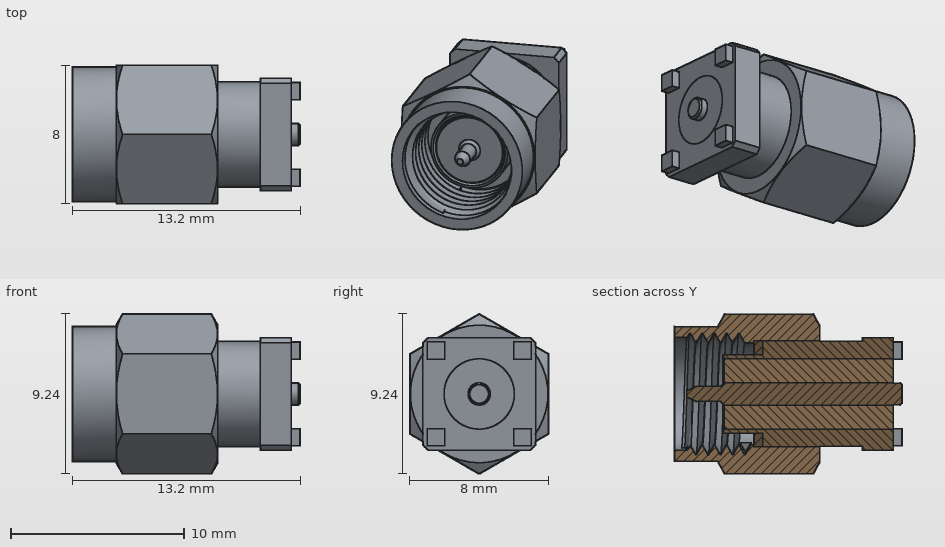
import cadquery as cq
import math


hex_start = 2.53
hex_end = 8.4
base_thickness = 1.8
foot_height = 0.5
total_length = 13.15
base_end = total_length - foot_height
base_start = base_end - base_thickness

sleeve_radius = 3.9
hex_across_flats = 8.0
hex_across_corners = hex_across_flats / math.cos(math.radians(30))
hex_face_radius = 3.97
hex_chamfer_angle = 30
entry_radius = 3.25
entry_depth = 0.7
bore_radius = 2.93
bore_end = 4.6

thread_pitch = 25.4 / 36
thread_turns = 5
thread_root_radius = 3.515
thread_half_angle = 30
thread_start = 0.584
thread_start_angle = 17
groove_overcut = 0.02

neck_radius = 3.05
ferrule_radius = 2.28
ferrule_start = 2.8
ferrule_bevel = 0.12
dielectric_radius = 2.03
base_width = 6.5
base_corner_chamfer = 0.3
foot_size = 1.0
foot_outer_edge = 3.0

gasket_thickness = 0.5
gasket_end = bore_end + gasket_thickness

dielectric_bevel = 0.06
dielectric_start = ferrule_start + ferrule_bevel - dielectric_bevel

pin_tip = 0.72
pin_cone_end = 1.26
pin_tip_radius = 0.18
pin_radius = 0.45
pin_shank_radius = 0.64
pin_tail_chamfer = 0.1
pin_shoulder_length = pin_shank_radius - pin_radius


def revolve_about_x(profile):
    """Revolve a closed (x, radius) profile about the X axis."""
    return cq.Workplane("XY").polyline(profile).close().revolve(360, (0, 0, 0), (1, 0, 0))


def cylinder_along_x(start, end, radius):
    return cq.Workplane("YZ", origin=(start, 0, 0)).circle(radius).extrude(end - start)


def make_hex():
    """Hexagon with corners up and down, both ends turned to a cone."""
    corner_radius = hex_across_corners / 2
    chamfer_length = (corner_radius - hex_face_radius) * math.tan(math.radians(hex_chamfer_angle))
    prism = (
        cq.Workplane("YZ", origin=(hex_start, 0, 0))
        .transformed(rotate=(0, 0, 90))
        .polygon(6, hex_across_corners)
        .extrude(hex_end - hex_start)
    )
    turned_envelope = revolve_about_x([
        (hex_start, 0),
        (hex_start, hex_face_radius),
        (hex_start + chamfer_length, corner_radius),
        (hex_end - chamfer_length, corner_radius),
        (hex_end, hex_face_radius),
        (hex_end, 0),
    ])
    return prism.intersect(turned_envelope)


def make_thread_groove():
    """Right-handed helical V groove, swept about Z and then laid along X."""
    inner_radius = bore_radius - groove_overcut
    half_width = (thread_root_radius - inner_radius) * math.tan(math.radians(thread_half_angle))
    helix = cq.Wire.makeHelix(thread_pitch, thread_pitch * thread_turns, bore_radius)
    groove = (
        cq.Workplane("XZ")
        .polyline([(inner_radius, -half_width), (thread_root_radius, 0), (inner_radius, half_width)])
        .close()
        .sweep(cq.Workplane(helix), isFrenet=True)
    )
    return (
        groove.rotate((0, 0, 0), (0, 1, 0), 90)
        .rotate((0, 0, 0), (1, 0, 0), thread_start_angle)
        .translate((thread_start, 0, 0))
    )


def make_nut():
    sleeve = cylinder_along_x(0, hex_end, sleeve_radius)
    entry_cone_end = entry_depth + entry_radius - bore_radius
    bore = revolve_about_x([
        (0, 0),
        (0, entry_radius),
        (entry_depth, entry_radius),
        (entry_cone_end, bore_radius),
        (bore_end, bore_radius),
        (bore_end, neck_radius),
        (hex_end, neck_radius),
        (hex_end, 0),
    ])
    return sleeve.union(make_hex()).cut(bore).cut(make_thread_groove())


def make_body():
    ferrule_and_neck = revolve_about_x([
        (ferrule_start, dielectric_radius + ferrule_bevel),
        (ferrule_start, ferrule_radius),
        (gasket_end, ferrule_radius),
        (gasket_end, neck_radius),
        (base_start, neck_radius),
        (base_start, dielectric_radius),
        (ferrule_start + ferrule_bevel, dielectric_radius),
    ])
    base = (
        cq.Workplane("YZ", origin=(base_start, 0, 0))
        .rect(base_width, base_width)
        .extrude(base_thickness)
        .edges("|X")
        .chamfer(base_corner_chamfer)
        .cut(cylinder_along_x(base_start, base_end, dielectric_radius))
    )
    foot_spacing = 2 * foot_outer_edge - foot_size
    feet = (
        cq.Workplane("YZ", origin=(base_end, 0, 0))
        .rarray(foot_spacing, foot_spacing, 2, 2)
        .rect(foot_size, foot_size)
        .extrude(foot_height)
    )
    return ferrule_and_neck.union(base).union(feet)


def make_gasket():
    ring = cylinder_along_x(bore_end, gasket_end, neck_radius)
    return ring.cut(cylinder_along_x(bore_end, gasket_end, ferrule_radius))


def make_dielectric():
    return revolve_about_x([
        (dielectric_start, pin_shank_radius),
        (dielectric_start, dielectric_radius - dielectric_bevel),
        (dielectric_start + dielectric_bevel, dielectric_radius),
        (base_end, dielectric_radius),
        (base_end, pin_shank_radius),
    ])


def make_pin():
    return revolve_about_x([
        (pin_tip, 0),
        (pin_tip, pin_tip_radius),
        (pin_cone_end, pin_radius),
        (dielectric_start - pin_shoulder_length, pin_radius),
        (dielectric_start, pin_shank_radius),
        (total_length - pin_tail_chamfer, pin_shank_radius),
        (total_length, pin_shank_radius - pin_tail_chamfer),
        (total_length, 0),
    ])


nut = make_nut()
body = make_body()
gasket = make_gasket()
dielectric = make_dielectric()
pin = make_pin()

result = cq.Compound.makeCompound([
    nut.solids().val(),
    body.solids().val(),
    gasket.solids().val(),
    dielectric.solids().val(),
    pin.solids().val(),
])